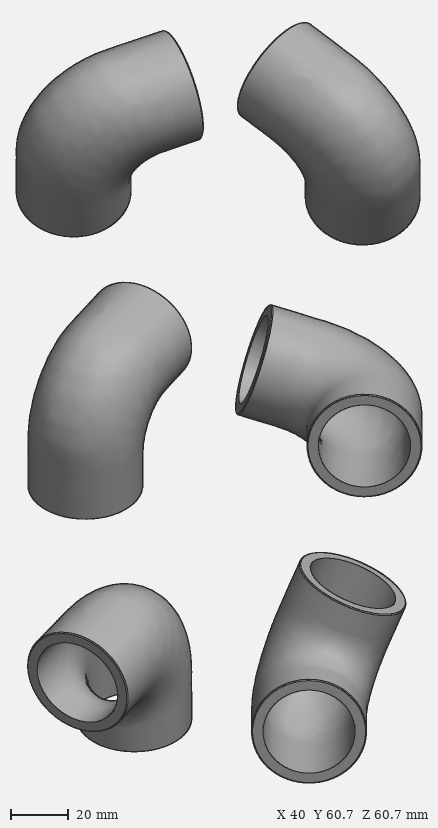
import cadquery as cq
import math

outer_diameter = 40.0
bore_diameter = 32.0
overall_size = 60.7
collar_length = 10.3
outside_corner_radius = 36.65
end_chamfer = 0.35
bend_sections = 19

wall = (outer_diameter - bore_diameter) / 2
inside_corner_radius = overall_size - collar_length - outer_diameter
axis_distance = inside_corner_radius + outer_diameter / 2


def far_wall_distance(angle, diameter, corner_radius):
    """Distance from the hinge to the far side of the bend: straight, arc, straight."""
    wall_distance = axis_distance + diameter / 2
    arc_centre = wall_distance - corner_radius
    folded = min(angle, math.pi / 2 - angle)
    if wall_distance * math.tan(folded) <= arc_centre:
        return wall_distance / math.cos(folded)
    along = arc_centre * (math.cos(folded) + math.sin(folded))
    return along + math.sqrt(along**2 - 2 * arc_centre**2 + corner_radius**2)


def bend(diameter, corner_radius):
    """Loft ellipses of constant width in planes fanned around the hinge."""
    near = axis_distance - diameter / 2
    half_width = diameter / 2
    wires = []
    for index in range(bend_sections):
        angle = math.pi / 2 * index / (bend_sections - 1)
        outward = cq.Vector(0, -math.cos(angle), math.sin(angle))
        along_bend = cq.Vector(0, math.sin(angle), math.cos(angle))
        far = far_wall_distance(angle, diameter, corner_radius)
        half_depth = max((far - near) / 2, half_width)
        centre = outward * ((near + far) / 2)
        wires.append(cq.Wire.makeEllipse(half_depth, half_width, centre, along_bend, outward))
    return cq.Workplane(cq.Solid.makeLoft(wires))


def collar(centre, direction, diameter):
    """Straight cylinder leading away from one end of the bend."""
    return cq.Workplane(
        cq.Solid.makeCylinder(diameter / 2, collar_length, cq.Vector(*centre), cq.Vector(*direction))
    )


def elbow(diameter, corner_radius, chamfer=0):
    """Complete solid elbow, with optional chamfers around its two open ends."""
    lower = collar((0, -axis_distance, 0), (0, 0, -1), diameter)
    rear = collar((0, 0, axis_distance), (0, 1, 0), diameter)
    if chamfer:
        lower = lower.faces("<Z").edges().chamfer(chamfer)
        rear = rear.faces(">Y").edges().chamfer(chamfer)
    return bend(diameter, corner_radius).union(lower).union(rear)


body = elbow(outer_diameter, outside_corner_radius, end_chamfer)
bore = elbow(bore_diameter, outside_corner_radius - wall)
result = body.cut(bore)